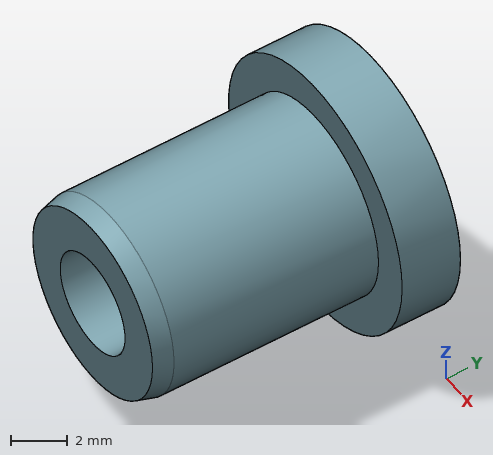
import cadquery as cq
import math

total_length = 12.0
head_diameter = 11.0
head_thickness = 2.5
shank_diameter = 8.0
bore_diameter = 4.1

taper_length = 0.78
taper_angle = 15.0
taper_depth = taper_length * math.tan(math.radians(taper_angle))

head_radius = head_diameter / 2
shank_radius = shank_diameter / 2
bore_radius = bore_diameter / 2
shank_length = total_length - head_thickness

half_section = (
    cq.Workplane("XY")
    .moveTo(bore_radius, head_thickness)
    .lineTo(head_radius, head_thickness)
    .lineTo(head_radius, 0)
    .lineTo(shank_radius, 0)
    .lineTo(shank_radius, taper_length - shank_length)
    .lineTo(shank_radius - taper_depth, -shank_length)
    .lineTo(bore_radius, -shank_length)
    .close()
)

result = half_section.revolve(360, (0, 0, 0), (0, 1, 0))